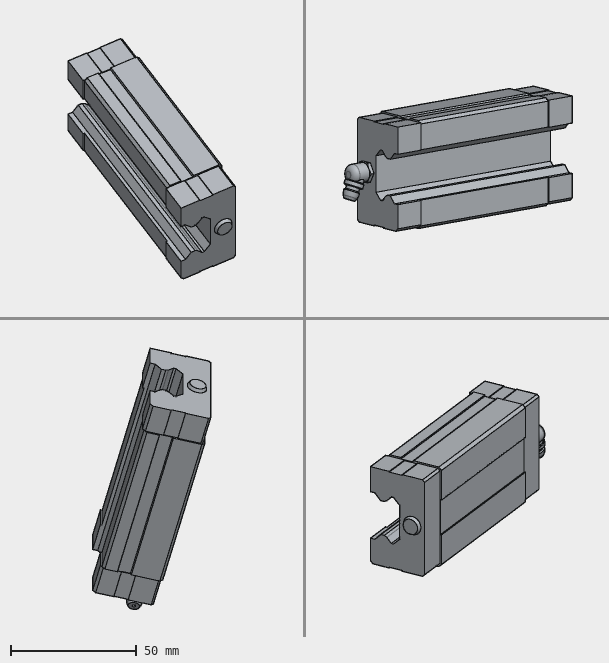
import cadquery as cq
import math


carriage_length = 90.7
body_length = 66.4

body_front = 0.6
body_back = 25.7
body_half_height = 44.0 / 2
body_chamfer = 1.2
side_groove_front = 7.0
side_groove_back = 12.7
side_groove_slant = 0.4
side_groove_depth = 0.6
back_groove_half_width = 7.7
back_groove_depth = 0.5

cap_back = 24.9
cap_half_height = 21.3
cap_back_chamfer = 0.9
cap_front_chamfer = 1.2
cap_groove_front = 8.7
cap_groove_back = 14.6
cap_groove_depth = 0.3

channel_floor = 13.5
channel_wide = 10.2
channel_narrow = 7.5
lip_shoulder_half_height = 8.1
channel_points = [
    (0, channel_wide),
    (2.1, channel_wide),
    (4.7, channel_narrow),
    (6.4, channel_narrow),
    (7.6, lip_shoulder_half_height),
    (9.6, channel_wide),
    (10.7, channel_wide),
    (channel_floor, channel_narrow),
]

port_y = 19.2
hex_sides = 6
hex_across_flats = 8.0
hex_length = 1.8
hex_bevel_angle = 30
elbow_diameter = 8.0
elbow_end = 9.4
elbow_rounding = 2.6
spout_offset = 4.9
spout_tilt = 22.5
stem_diameter = 7.1
collar_diameter = 7.9
collar_end_diameter = 6.6
neck_diameter = 5.5
head_diameter = 6.6
head_end_diameter = 5.8
tip_diameter = 4.7
tip_hole_diameter = 1.2
tip_hole_depth = 2.1
plug_diameter = 8.0
plug_face_diameter = 6.6
plug_height = 1.5

collar_start = 3.3
collar_full = 3.7
collar_taper = 5.4
collar_end = 5.7
head_start = 7.0
head_full = 7.6
head_taper = 9.8
spout_end = 11.0


def extrude_section(section, length):
    """Extrude a YZ section symmetrically along X."""
    return section.extrude(length / 2, both=True)


def rectangle(y_min, y_max, half_height):
    """Rectangle in the YZ plane, symmetric about Z = 0."""
    center_y = (y_min + y_max) / 2
    return cq.Workplane("YZ").center(center_y, 0).rect(y_max - y_min, 2 * half_height)


def side_groove(points, length):
    """Matching grooves in the +Z and -Z sides."""
    groove = extrude_section(cq.Workplane("YZ").polyline(points).close(), length)
    return groove.union(groove.mirror("XY"))


def make_body():
    body = extrude_section(rectangle(body_front, body_back, body_half_height), body_length)
    body = body.edges("|X").chamfer(body_chamfer)
    floor = body_half_height - side_groove_depth
    body = body.cut(side_groove([
        (side_groove_front, floor),
        (side_groove_front, body_half_height),
        (side_groove_back, body_half_height),
        (side_groove_back - side_groove_slant, floor),
    ], body_length))
    back_groove = rectangle(body_back - back_groove_depth, body_back, back_groove_half_width)
    return body.cut(extrude_section(back_groove, body_length))


def make_end_caps():
    """Both end caps: one long bar without the stretch that the body fills."""
    caps = extrude_section(rectangle(0, cap_back, cap_half_height), carriage_length)
    caps = caps.edges("|X and >Y").chamfer(cap_back_chamfer)
    caps = caps.edges("|X and <Y and <Z").chamfer(cap_front_chamfer)
    floor = cap_half_height - cap_groove_depth
    caps = caps.cut(side_groove([
        (cap_groove_front, floor),
        (cap_groove_front, cap_half_height),
        (cap_groove_back, cap_half_height),
        (cap_groove_back, floor),
    ], carriage_length))
    return caps.cut(extrude_section(rectangle(0, cap_back, body_half_height), body_length))


def make_channel():
    lower_points = [(y, -z) for y, z in reversed(channel_points)]
    section = cq.Workplane("YZ").polyline(channel_points + lower_points).close()
    return extrude_section(section, carriage_length)


def make_elbow():
    cap_face = cq.Workplane("YZ", origin=(-carriage_length / 2, port_y, 0))
    hex_across_corners = hex_across_flats / math.cos(math.pi / hex_sides)
    nut = cap_face.polygon(hex_sides, hex_across_corners).extrude(-hex_length)
    bevel_width = (hex_across_corners - hex_across_flats) / 2
    bevel_height = bevel_width * math.tan(math.radians(hex_bevel_angle))
    blank = cap_face.circle(hex_across_corners / 2).extrude(-hex_length)
    nut = nut.intersect(blank.faces("<X").chamfer(bevel_height, bevel_width))
    barrel = cap_face.circle(elbow_diameter / 2).extrude(-elbow_end)
    return nut.union(barrel.faces("<X").edges().fillet(elbow_rounding))


def make_spout():
    tilt = math.radians(spout_tilt)
    spout_plane = cq.Plane(
        origin=(-carriage_length / 2 - spout_offset, port_y, 0),
        xDir=(math.cos(tilt), 0, -math.sin(tilt)),
        normal=(0, 1, 0),
    )
    head_sag = (head_diameter - head_end_diameter) / 2
    head_middle = (head_diameter / 2 - head_sag / 4, (head_full + head_taper) / 2)
    outline = cq.Workplane(spout_plane).polyline([
        (0, 0),
        (stem_diameter / 2, 0),
        (stem_diameter / 2, collar_start),
        (collar_diameter / 2, collar_full),
        (collar_diameter / 2, collar_taper),
        (collar_end_diameter / 2, collar_end),
        (neck_diameter / 2, collar_end),
        (neck_diameter / 2, head_start),
        (head_diameter / 2, head_full),
    ])
    outline = outline.threePointArc(head_middle, (head_end_diameter / 2, head_taper))
    outline = outline.lineTo(tip_diameter / 2, spout_end)
    outline = outline.lineTo(tip_hole_diameter / 2, spout_end)
    outline = outline.lineTo(tip_hole_diameter / 2, spout_end - tip_hole_depth)
    outline = outline.lineTo(0, spout_end - tip_hole_depth).close()
    return outline.revolve(360, (0, 0), (0, 1))


def make_plug():
    cap_face = cq.Workplane("YZ", origin=(carriage_length / 2, port_y, 0))
    outer_edge = cap_face.circle(plug_diameter / 2)
    return outer_edge.workplane(offset=plug_height).circle(plug_face_diameter / 2).loft(ruled=True)


carriage = make_body().union(make_end_caps()).cut(make_channel())
result = carriage.union(make_elbow()).union(make_spout()).union(make_plug())